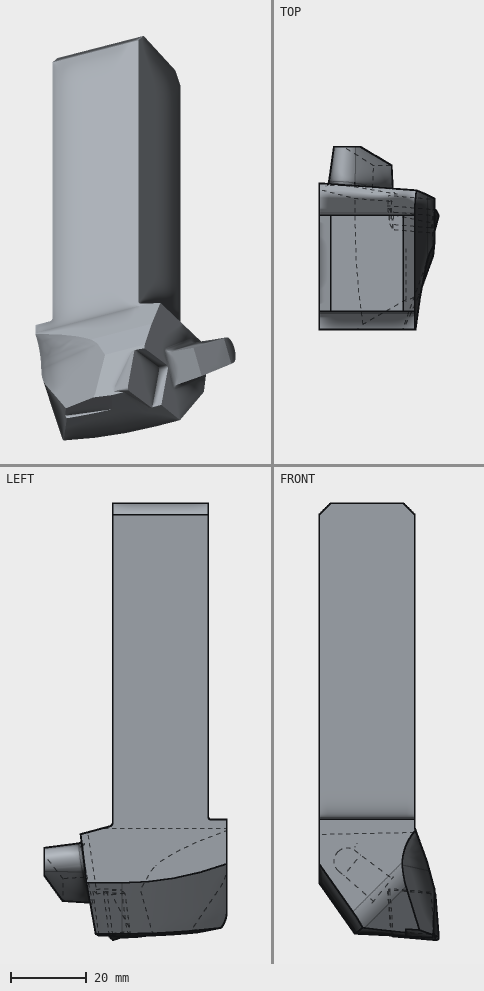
import cadquery as cq
import math


shank = 25.4
total_height = 115.75
top_chamfer = 3.1
neck_fillet = 0.9
ledge_fillet = 0.6

ledge_z = 32.0
head_front = -4.9
head_back = 33.9
blank_allowance = 5.0
head_back_limit = head_back + blank_allowance
shoulder_z = 28.1
shoulder_root_z = 30.4
back_slope_x = 0.075
back_slope_z = 0.125

side_top_z = 29.6
side_mid = (28.6, 20.8)
side_low = (30.6, 13.5)
corner_side = (30.3, 2.5)
corner_bottom = (30.0, 0.6)
heel_right = (20.0, 1.2)
heel_left = (9.5, 1.7)
bevel_top = (0, 15.2)

bevel_flat_y = 23.0
left_bevel_rise = 2.9
bottom_bevel_rise = 1.9

clearance_start = 0.9
clearance_radius = 8.9
clearance_angle = math.radians(36)

scoop_x = 22.0
scoop_z = 20.0
scoop_radius = 13.5
scoop_sweep = math.radians(70)
scoop_low_shift = 2.8
scoop_run = (0.36, 1, -0.08)

boss_back = 43.55
boss_heel = (7.4, 21.0)
boss_radius = 3.5
boss_length = 12.1
boss_angle = math.radians(39)
boss_draft = 0.08
boss_depth = 17.5
boss_flat_length = 1.7
boss_slope = 0.474
boss_fillet = 1.2
boss_foot_low = (2, 29, 9)
boss_foot_high = (20, 34.5, 27.5)

insert_edge = 12.9
insert_thickness = 4.76
insert_nose = 0.8
insert_lead = math.radians(5)
insert_tip_x = 31.75
insert_tip_y = shank
insert_clearance = 11
pocket_height = 12.0
relief_left = 23.0
relief_slope = 0.13

far = 60.0
back_normal = cq.Vector(back_slope_x, 1, -back_slope_z)


def xz_plane(y):
    """Sketch plane at the given Y, with X to the right, Z up and its normal along -Y."""
    return cq.Workplane("XZ", origin=(0, y, 0))


def half_space(origin, normal, x_dir):
    """Large block lying on the positive side of a plane."""
    plane = cq.Plane(origin=origin, xDir=x_dir, normal=normal)
    return cq.Workplane(plane).rect(4 * far, 4 * far).extrude(2 * far)


def edge_along_x(y, z):
    """Selector for the edge that crosses the shank at the given Y and Z."""
    near = 0.1
    return cq.selectors.BoxSelector((0, y - near, z - near), (shank, y + near, z + near))


def make_shank():
    bar = cq.Workplane("XY").box(shank, shank, total_height - shoulder_root_z, centered=False)
    bar = bar.translate((0, 0, shoulder_root_z))
    return bar.faces(">Z").edges("|Y").chamfer(top_chamfer)


def make_head_blank():
    outline = (
        xz_plane(head_front)
        .moveTo(0, ledge_z)
        .lineTo(shank, ledge_z)
        .lineTo(shank, side_top_z)
        .lineTo(*side_mid)
        .lineTo(*side_low)
        .lineTo(*corner_side)
        .lineTo(*corner_bottom)
        .lineTo(*heel_right)
        .lineTo(*heel_left)
        .lineTo(*bevel_top)
        .close()
    )
    blank = outline.extrude(head_front - head_back_limit)

    shoulder = (
        cq.Workplane("YZ")
        .moveTo(shank, total_height)
        .lineTo(shank, shoulder_root_z)
        .lineTo(head_back, shoulder_z)
        .lineTo(far, shoulder_z)
        .lineTo(far, total_height)
        .close()
        .extrude(far)
    )
    back_cut = half_space((0, head_back, shoulder_z), back_normal, (1, -back_slope_x, 0))
    return blank.cut(shoulder).cut(back_cut)


def make_bevel_cut(start, end, rise):
    """Cut along the outline edge from start to end, rolling inward by rise at the front face."""
    step = cq.Vector(end[0] - start[0], 0, end[1] - start[1])
    outward = step.cross(cq.Vector(0, -1, 0))
    plane = cq.Plane(origin=(start[0], 0, start[1]), xDir=outward, normal=step)
    run = bevel_flat_y - head_front
    radius = (run**2 + rise**2) / (2 * rise)
    middle_rise = radius - math.sqrt(radius**2 - (run / 2) ** 2)
    return (
        cq.Workplane(plane)
        .moveTo(-rise, head_front)
        .threePointArc((-middle_rise, bevel_flat_y - run / 2), (0, bevel_flat_y))
        .lineTo(0, head_back_limit)
        .lineTo(far, head_back_limit)
        .lineTo(far, head_front)
        .close()
        .extrude(far, both=True)
    )


def make_clearance_cut():
    plane = cq.Plane(origin=(0, 0, 0), xDir=(1, 0, -1), normal=(1, 0, 1))

    def on_arc(angle):
        return (
            clearance_start + clearance_radius * math.sin(angle),
            head_front + clearance_radius * (1 - math.cos(angle)),
        )

    end = on_arc(clearance_angle)
    return (
        cq.Workplane(plane)
        .moveTo(clearance_start, head_front)
        .threePointArc(on_arc(clearance_angle / 2), end)
        .lineTo(end[0] + far, end[1] + far * math.tan(clearance_angle))
        .lineTo(end[0] + far, head_front)
        .close()
        .extrude(far, both=True)
    )


def make_scoop_cut():
    def on_arc(angle):
        return (
            scoop_x + scoop_radius * (1 - math.cos(angle)),
            scoop_z + scoop_radius * math.sin(angle),
        )

    top = on_arc(scoop_sweep)
    profile = (
        xz_plane(head_front)
        .moveTo(scoop_x + scoop_low_shift, -scoop_z)
        .lineTo(scoop_x, scoop_z)
        .threePointArc(on_arc(scoop_sweep / 2), top)
        .lineTo(far, top[1])
        .lineTo(far, -scoop_z)
        .close()
    )
    run = cq.Vector(*scoop_run) * far
    return cq.Workplane(cq.Solid.extrudeLinear(profile.val(), [], run))


def make_boss():
    along = cq.Vector(math.cos(boss_angle), 0, -math.sin(boss_angle))

    def section(depth):
        grow = boss_draft * depth
        half_width = boss_radius + grow
        plane = cq.Plane(
            origin=(boss_heel[0], boss_back - depth, boss_heel[1]), xDir=along, normal=(0, -1, 0)
        )
        return (
            cq.Workplane(plane)
            .moveTo(boss_length, -half_width)
            .lineTo(-grow, -half_width)
            .threePointArc((-grow - half_width, 0), (-grow, half_width))
            .lineTo(boss_length, half_width)
            .close()
            .val()
        )

    boss = cq.Workplane(cq.Solid.makeLoft([section(0), section(boss_depth)], True))
    slope_start = cq.Vector(boss_heel[0], boss_back, boss_heel[1]) + along * boss_flat_length
    slope_normal = along * boss_slope + cq.Vector(0, 1, 0)
    across = along.cross(slope_normal)
    return boss.cut(half_space(slope_start, slope_normal, across))


def make_insert_outline():
    """Rhombus with rounded corners, lying in the plane of the rake face."""
    plane = cq.Plane(
        origin=(insert_tip_x - insert_nose, insert_tip_y, insert_nose),
        xDir=(1, -back_slope_x, 0),
        normal=back_normal,
    )
    half_corner = math.pi / 4 - insert_lead
    corner = insert_nose / math.sin(half_corner) * math.sqrt(0.5)
    long_step = insert_edge * math.cos(insert_lead)
    short_step = insert_edge * math.sin(insert_lead)
    rhombus = (
        cq.Workplane(plane)
        .moveTo(corner, corner)
        .line(-long_step, -short_step)
        .line(-short_step, -long_step)
        .line(long_step, short_step)
        .close()
        .val()
    )
    rounded = rhombus.fillet2D(insert_nose, rhombus.Vertices())
    return cq.Workplane(plane).newObject([rounded]).toPending()


def make_insert():
    """Rhombic plate parallel to the back of the head, narrowing away from its rake face."""
    return make_insert_outline().extrude(-insert_thickness, taper=insert_clearance)


def make_seat_relief():
    """Sloping cut that clears the holder below the insert's bottom cutting edge."""
    return (
        cq.Workplane("YZ", origin=(relief_left, 0, 0))
        .moveTo(head_back_limit, 0)
        .lineTo(insert_tip_y, 0)
        .lineTo(head_front, relief_slope * (insert_tip_y - head_front))
        .lineTo(head_front, -far)
        .lineTo(head_back_limit, -far)
        .close()
        .extrude(far)
    )


def make_holder(insert):
    head = make_head_blank()
    head = head.cut(make_bevel_cut(bevel_top, heel_left, left_bevel_rise))
    head = head.cut(make_bevel_cut(heel_left, heel_right, bottom_bevel_rise))
    head = head.cut(make_clearance_cut())
    head = head.cut(make_scoop_cut())
    head = head.cut(make_seat_relief())

    holder = make_shank().union(head)
    holder = holder.edges(edge_along_x(shank, shoulder_root_z)).fillet(neck_fillet)
    holder = holder.edges(edge_along_x(0, ledge_z)).fillet(ledge_fillet)

    boss = make_boss()
    holder = holder.union(boss)
    holder = holder.edges(
        cq.selectors.BoxSelector(boss_foot_low, boss_foot_high)
    ).fillet(boss_fillet)

    pocket = make_insert_outline().extrude(pocket_height)
    return holder.cut(pocket.cut(boss)).cut(insert)


insert = make_insert()
holder = make_holder(insert)

result = cq.Compound.makeCompound([holder.val(), insert.val()])